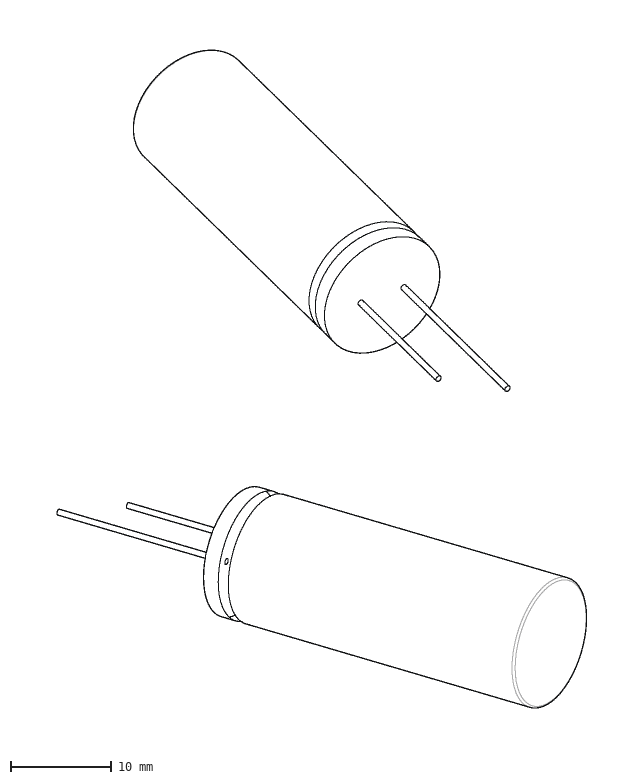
import cadquery as cq

overall_length = 57.0
case_length = 37.0
case_diameter = 13.5
case_radius = case_diameter / 2
closed_end_fillet = 0.2

groove_width = 1.2
groove_radius = groove_width / 2
rim_length = 1.75
groove_center_x = case_length - rim_length - groove_radius

lead_diameter = 0.6
lead_pitch = 5.0
short_lead_length = 15.0
long_lead_length = overall_length - case_length


def make_groove_ring():
    """Ring of round section, centred on the case surface, that cuts the crimp groove."""
    section = cq.Workplane("XY").center(groove_center_x, case_radius).circle(groove_radius)
    return section.revolve(360, (0, -case_radius, 0), (1, -case_radius, 0))


def make_case():
    """Round can with a rounded closed end and a crimp groove."""
    can = cq.Workplane("YZ").circle(case_radius).extrude(case_length)
    can = can.faces("<X").edges().fillet(closed_end_fillet)
    return can.cut(make_groove_ring())


def make_lead(length, y):
    """Straight round wire standing on the lead end of the case."""
    lead_plane = cq.Workplane("YZ", origin=(case_length, y, 0))
    return lead_plane.circle(lead_diameter / 2).extrude(length)


case = make_case()

leads = []
for length, side in ((long_lead_length, 1), (short_lead_length, -1)):
    lead = make_lead(length, side * lead_pitch / 2)
    leads.append(lead.val())

result = cq.Compound.makeCompound([case.val(), *leads])